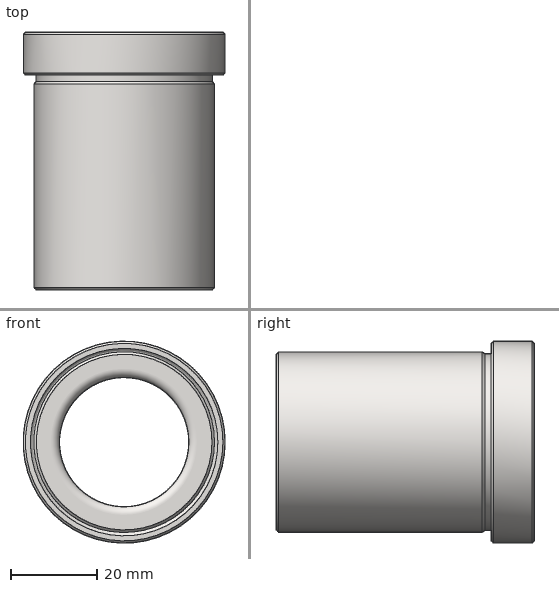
import cadquery as cq
import math

length = 60.0
head_diameter = 47.0
head_radius = head_diameter / 2
head_length = 10.0
head_chamfer = 0.55
body_radius = 21.0
body_chamfer = 0.6
bore_radius = 15.0
bore_fillet = 2.0

groove_radius = 20.6
groove_width = 1.5
groove_shoulder = 0.6
undercut_mouth_radius = 21.8
undercut_round = 0.4

front = -length / 2
back = length / 2
head_face = back - head_length
groove_start = head_face - groove_width


def outer_solid():
    """Revolve the outside profile, given as (radius, Y) points."""
    round_center_radius = groove_radius + undercut_round
    tangent_offset = undercut_round * math.sin(math.radians(45))
    cone_end_radius = round_center_radius + tangent_offset
    cone_end = head_face + undercut_mouth_radius - cone_end_radius
    round_center = cone_end - tangent_offset
    shank = [
        (0, front),
        (body_radius - body_chamfer, front),
        (body_radius, front + body_chamfer),
        (body_radius, groove_start - groove_shoulder),
        (groove_radius, groove_start),
        (groove_radius, round_center),
    ]
    head = [
        (undercut_mouth_radius, head_face),
        (head_radius - head_chamfer, head_face),
        (head_radius, head_face + head_chamfer),
        (head_radius, back - head_chamfer),
        (head_radius - head_chamfer, back),
        (0, back),
    ]
    return (
        cq.Workplane("XY")
        .polyline(shank)
        .threePointArc((round_center_radius, round_center + undercut_round), (cone_end_radius, cone_end))
        .polyline(head, includeCurrent=True)
        .close()
        .revolve(360, (0, 0, 0), (0, 1, 0))
    )


def bore_cutter():
    """Through bore with a rounded mouth at each end."""
    mouth_radius = bore_radius + bore_fillet
    return (
        cq.Workplane("XY")
        .moveTo(0, front)
        .lineTo(mouth_radius, front)
        .radiusArc((bore_radius, front + bore_fillet), bore_fillet)
        .lineTo(bore_radius, back - bore_fillet)
        .radiusArc((mouth_radius, back), bore_fillet)
        .lineTo(0, back)
        .close()
        .revolve(360, (0, 0, 0), (0, 1, 0))
    )


result = outer_solid().cut(bore_cutter())